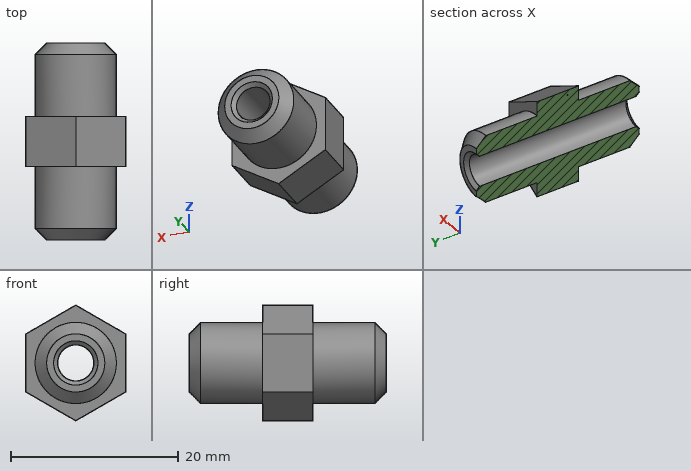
import cadquery as cq
import math

total_length = 23.6
hex_length = 6.0
hex_across_flats = 12.0
hex_sides = 6
shank_diameter = 9.73
tip_diameter = 6.96
bore_diameter = 4.3
bore_mouth_diameter = 5.3

tip_chamfer = (shank_diameter - tip_diameter) / 2
mouth_chamfer = (bore_mouth_diameter - bore_diameter) / 2


def along_y(length):
    """Workplane normal to Y, placed so that a body of this length is centred on the origin."""
    return cq.Workplane("XZ", origin=(0, length / 2, 0))


def make_shank():
    """Cylinder over the full length, with a chamfered tip at both ends."""
    shank = along_y(total_length).circle(shank_diameter / 2).extrude(total_length)
    return shank.faces("<Y or >Y").edges().chamfer(tip_chamfer)


def make_hex():
    """Central wrench hexagon with flats on +X and -X and corners on +Z and -Z."""
    corner_radius = hex_across_flats / 2 / math.cos(math.pi / hex_sides)
    corners = []
    for index in range(hex_sides):
        angle = math.pi / 2 + index * 2 * math.pi / hex_sides
        corners.append((corner_radius * math.cos(angle), corner_radius * math.sin(angle)))
    return along_y(hex_length).polyline(corners).close().extrude(hex_length)


def make_bore():
    """Through bore that widens to a conical mouth at both ends."""
    half_length = total_length / 2
    bore_radius = bore_diameter / 2
    mouth_radius = bore_mouth_diameter / 2
    cone_start = half_length - mouth_chamfer
    profile = cq.Workplane("XY").polyline([
        (0, -half_length),
        (mouth_radius, -half_length),
        (bore_radius, -cone_start),
        (bore_radius, cone_start),
        (mouth_radius, half_length),
        (0, half_length),
    ]).close()
    return profile.revolve(360, (0, 0, 0), (0, 1, 0))


result = make_shank().union(make_hex()).cut(make_bore())